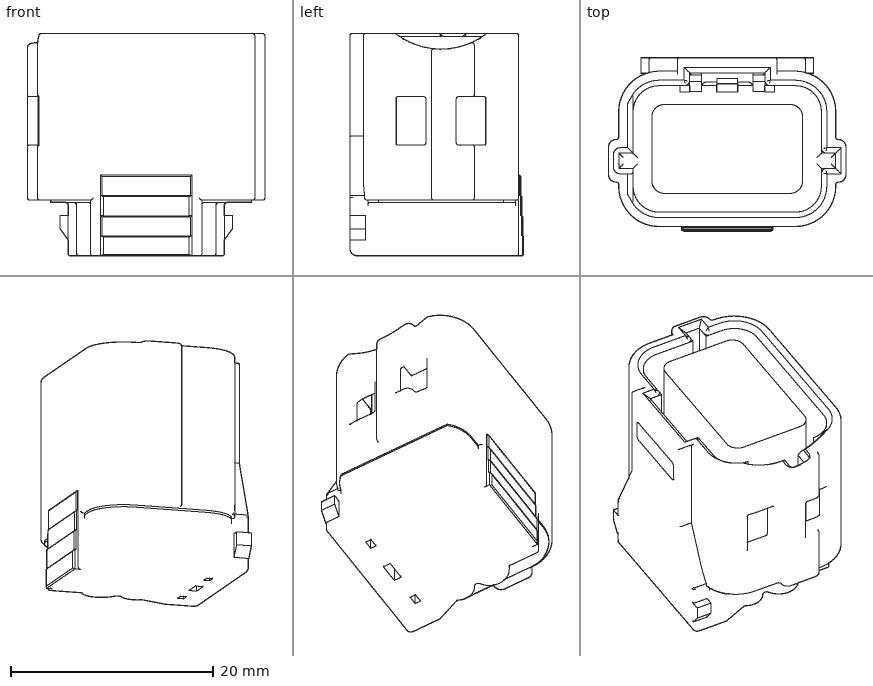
import cadquery as cq
import math

TOP_Z = 22.0
BODY_BOTTOM_Z = 5.5
BODY_HALF_X = 10.75
BODY_HALF_Y = 7.68
BODY_RADIUS = 4.0
EDGE_FILLET = 0.25

TAB_HALF_X = 11.75
TAB_Y = -1.18
TAB_HALF_WIDTH = 2.12
TAB_RADIUS = 0.75
TAB_ROOT_RADIUS = 0.24

BACK_Y = 9.02
BACK_INNER_Y = 7.05
BACK_HALF_X = 4.94
FLARE_TOP_Z = 11.85
FLARE_BOTTOM_Z = 5.97

BASE_HALF_X = 7.73
BASE_FRONT_HALF_X = 5.5
BASE_FRONT_FILLET = 0.3
BASE_SIDE_FILLET = 0.33
BASE_FILLET = 0.2
BASE_BACK_FILLET = 0.75
LOBE_X = 4.94
LOBE_Y = -2.19
LOBE_RADIUS = 1.97
LOBE_REACH_Y = math.sqrt(LOBE_RADIUS**2 - (BASE_FRONT_HALF_X - LOBE_X)**2)
REAR_LOBE = [(5.97, 0.16), (6.8, 1.25), (6.58, 2.54)]
BASE_SIDE_FRONT_Y = 5.25

PLATE_INSET = 0.33
PLATE_MIN_X = -9.45
PLATE_BOTTOM_Z = 5.29
SEAM_FILLET = 0.3

WALL = 1.43
CAVITY_HALF_X = BODY_HALF_X - WALL
CAVITY_HALF_Y = BODY_HALF_Y - WALL
CAVITY_RADIUS = BODY_RADIUS - WALL
FLOOR_Z = 6.35
FLOOR_FILLET = 0.52
RIM_CHAMFER = 0.55
GROOVE_HALF_X = 10.72
GROOVE_HALF_WIDTH = 0.75
GROOVE_MOUTH_RADIUS = 0.68
NOTCH_HALF_X = 3.71
NOTCH_Y = 7.52
CORE_HALF_X = 7.45
CORE_HALF_Y = 4.4
CORE_RADIUS = 1.22
CORE_TOP_Z = 21.71

DIP_HALF_WIDTH = 4.51
DIP_DEPTH = 1.55
DIP_RADIUS = (DIP_HALF_WIDTH**2 + DIP_DEPTH**2) / (2 * DIP_DEPTH)
DIP_INNER_X = -CORE_HALF_X - 0.95

WINDOW_Y = 2.98
WINDOW_WIDTH = 2.95
WINDOW_BOTTOM_Z = 10.95
WINDOW_HEIGHT = 4.8
WINDOW_RADIUS = 0.2
WINDOW_FILLET = 0.16

LATCH_BOTTOM_Z = 16.92
LATCH_TOP_Z = 19.15
LATCH_RADIUS = 0.35
TONGUE_HALF_X = 2.54
TONGUE_FOOT_Y = CAVITY_HALF_Y
TONGUE_CHAMFER = 0.38
TONGUE_RADIUS = 0.52
FINGER_OUTER_X = NOTCH_HALF_X
FINGER_INNER_X = TONGUE_HALF_X
FINGER_FRONT_Y = 5.69
FINGER_FLAT_Z = 14.57
FINGER_RAMP = [(6.65, FINGER_FLAT_Z), (7.1, 14.12), (7.33, 13.75)]
SLOT_FRONT_Y = 5.65
CENTER_SLOT_HALF_X = 1.03
CENTER_SLOT_Y = 6.45
CENTER_SLOT_CHAMFER = 0.55
SIDE_SLOT_OUTER_X = 4.65

HOOK_HALF_X = 8.53
HOOK_FRONT_Y = 7.47
HOOK_TOP_Z = 4.0
HOOK_BEND_Z = 2.68
HOOK_BOTTOM_Z = 1.57

GRIP_HALF_X = 4.51
GRIP_HEIGHT = 8.0
GRIP_STEPS = 4
GRIP_FIRST_DEPTH = 0.2
GRIP_LAST_DEPTH = 0.5
GRIP_CHAMFER = 0.15
GRIP_SIDE_INSETS = (0.15, 0.28)


def box(x0, x1, y0, y1, z0, z1):
    return cq.Workplane("XY").box(x1 - x0, y1 - y0, z1 - z0, centered=False).translate((x0, y0, z0))


def rounded_prism(half_x, half_y, radius, z0, z1):
    prism = cq.Workplane("XY", origin=(0, 0, z0)).rect(2 * half_x, 2 * half_y).extrude(z1 - z0)
    return prism.edges("|Z").fillet(radius)


def prism_along_y(points, y0, y1):
    return cq.Workplane("XZ", origin=(0, y0, 0)).polyline(points).close().extrude(y0 - y1)


def mirrored(points):
    """Extend a +X half outline with its mirror image."""
    return points + [(-x, other) for x, other in reversed(points)]


def make_hood():
    hood = rounded_prism(BODY_HALF_X, BODY_HALF_Y, BODY_RADIUS, BODY_BOTTOM_Z, TOP_Z)
    tabs = box(-TAB_HALF_X, TAB_HALF_X, TAB_Y - TAB_HALF_WIDTH, TAB_Y + TAB_HALF_WIDTH, BODY_BOTTOM_Z, TOP_Z)
    hood = hood.union(tabs.edges("|Z").fillet(TAB_RADIUS))
    for side in (-1, 1):
        x = side * BODY_HALF_X
        roots = cq.selectors.BoxSelector(
            (x - 0.24, TAB_Y - TAB_HALF_WIDTH - 0.24, 0), (x + 0.24, TAB_Y + TAB_HALF_WIDTH + 0.24, TOP_Z)
        )
        hood = hood.edges("|Z").edges(roots).fillet(TAB_ROOT_RADIUS)
    return hood.faces("<Z").edges().fillet(EDGE_FILLET)


def make_housing():
    half_outline = [
        (BASE_HALF_X, BODY_BOTTOM_Z),
        (BASE_HALF_X, FLARE_BOTTOM_Z),
        (BACK_HALF_X, FLARE_TOP_Z),
        (BACK_HALF_X, TOP_Z),
    ]
    housing = prism_along_y(mirrored(half_outline), BACK_INNER_Y, BACK_Y)
    return housing.faces(">Y").edges("not <Z").fillet(EDGE_FILLET)


def dip_cylinder(radius, x0, x1):
    axis_z = TOP_Z - DIP_DEPTH + DIP_RADIUS
    return cq.Workplane("YZ", origin=(x0, 0, axis_z)).circle(radius).extrude(x1 - x0)


def cut_dip_and_round_rim(hood):
    hood = hood.cut(dip_cylinder(DIP_RADIUS, -TAB_HALF_X - 0.24, DIP_INNER_X))
    rim = cq.selectors.BoxSelector(
        (-TAB_HALF_X - 0.24, -BODY_HALF_Y - 0.24, TOP_Z - DIP_DEPTH - 0.24), (TAB_HALF_X + 0.24, BACK_Y + 0.24, TOP_Z + 0.24)
    )
    return hood.edges(rim).edges("not |Z").fillet(EDGE_FILLET)


def make_base():
    half = (
        cq.Workplane("XY")
        .moveTo(0, -BODY_HALF_Y)
        .lineTo(BASE_FRONT_HALF_X, -BODY_HALF_Y)
        .lineTo(BASE_FRONT_HALF_X, LOBE_Y - LOBE_REACH_Y)
        .threePointArc((LOBE_X + LOBE_RADIUS, LOBE_Y), (BASE_FRONT_HALF_X, LOBE_Y + LOBE_REACH_Y))
        .lineTo(*REAR_LOBE[0])
        .threePointArc(*REAR_LOBE[1:])
        .lineTo(BASE_HALF_X, BASE_SIDE_FRONT_Y)
        .lineTo(BASE_HALF_X, BACK_Y)
        .lineTo(0, BACK_Y)
        .close()
        .extrude(BODY_BOTTOM_Z + EDGE_FILLET)
    )
    base = half.union(half.mirror("YZ"))
    front_corners = cq.selectors.BoxSelector(
        (-BASE_HALF_X, -BODY_HALF_Y - 0.24, 0), (BASE_HALF_X, -BODY_HALF_Y + 0.24, TOP_Z)
    )
    base = base.edges("|Z").edges(front_corners).fillet(BASE_FRONT_FILLET)
    side_corners = cq.selectors.BoxSelector(
        (-BASE_HALF_X - 0.24, -BODY_HALF_Y + 0.47, 0), (BASE_HALF_X + 0.24, BASE_SIDE_FRONT_Y + 0.24, TOP_Z)
    )
    base = base.edges("|Z").edges(side_corners).fillet(BASE_SIDE_FILLET)
    base = base.faces("<Z").edges(">Y").fillet(BASE_BACK_FILLET)
    return base.faces("<Z").edges("not >Y").fillet(BASE_FILLET)


def make_underplate():
    """Thin step under the hood."""
    plate = rounded_prism(
        BODY_HALF_X - PLATE_INSET,
        BODY_HALF_Y - PLATE_INSET,
        BODY_RADIUS - PLATE_INSET,
        PLATE_BOTTOM_Z,
        BODY_BOTTOM_Z + EDGE_FILLET,
    )
    trim = box(-BODY_HALF_X, PLATE_MIN_X, -BODY_HALF_Y, BODY_HALF_Y, 0, BODY_BOTTOM_Z)
    return plate.cut(trim)


def join_base_and_plate(base, plate):
    joined = base.union(plate)
    seam = cq.selectors.BoxSelector(
        (-BASE_HALF_X - 0.12, 0.24 - BODY_HALF_Y + PLATE_INSET, PLATE_BOTTOM_Z - 0.02),
        (BASE_HALF_X + 0.12, BODY_HALF_Y - PLATE_INSET - 0.24, PLATE_BOTTOM_Z + 0.02),
    )
    return joined.edges(seam).fillet(SEAM_FILLET)


def make_hooks():
    outline = [
        (BASE_HALF_X, HOOK_BOTTOM_Z),
        (HOOK_HALF_X, HOOK_BEND_Z),
        (HOOK_HALF_X, HOOK_TOP_Z),
    ]
    inside = [(0, HOOK_TOP_Z), (0, HOOK_BOTTOM_Z)]
    hook = prism_along_y(outline + inside, HOOK_FRONT_Y, BACK_Y)
    return hook.union(hook.mirror("YZ"))


def make_grip():
    """Stacked steps that stand further out toward the bottom, every second one with narrower sides."""
    grip = None
    step_height = GRIP_HEIGHT / GRIP_STEPS
    depth_gain = (GRIP_LAST_DEPTH - GRIP_FIRST_DEPTH) / (GRIP_STEPS - 1)
    for i in range(GRIP_STEPS):
        front_y = -BODY_HALF_Y - GRIP_FIRST_DEPTH - i * depth_gain
        inset = GRIP_SIDE_INSETS[i % 2]
        half_outline = [
            (GRIP_HALF_X, -CAVITY_HALF_Y),
            (GRIP_HALF_X, front_y + GRIP_CHAMFER),
            (GRIP_HALF_X - inset, front_y),
        ]
        step = cq.Workplane("XY").polyline(mirrored(half_outline)).close().extrude(GRIP_HEIGHT - i * step_height)
        step = step.faces("<Y").edges(">Z or <Z").chamfer(GRIP_CHAMFER)
        grip = step if grip is None else grip.union(step)
    return grip


def make_cavity():
    prism = rounded_prism(CAVITY_HALF_X, CAVITY_HALF_Y, CAVITY_RADIUS, FLOOR_Z, TOP_Z)
    groove = box(
        -GROOVE_HALF_X, GROOVE_HALF_X, TAB_Y - GROOVE_HALF_WIDTH, TAB_Y + GROOVE_HALF_WIDTH, FLOOR_Z, TOP_Z
    )
    notch = box(-NOTCH_HALF_X, NOTCH_HALF_X, 0, NOTCH_Y, FLOOR_Z, TOP_Z)
    prism = prism.union(groove).union(notch)
    outline = prism.faces(">Z").wires().toPending().offset2D(RIM_CHAMFER, kind="intersection")
    flare = outline.extrude(-RIM_CHAMFER, combine=False, taper=45)
    prism = prism.faces("<Z").edges().fillet(FLOOR_FILLET)
    core = rounded_prism(CORE_HALF_X, CORE_HALF_Y, CORE_RADIUS, FLOOR_Z - 0.24, CORE_TOP_Z)
    return prism.union(flare).cut(core)


def make_dip_flare():
    """Cone that carries the rim chamfer along the dip."""
    cone = cq.Solid.makeCone(
        DIP_RADIUS,
        DIP_RADIUS + RIM_CHAMFER,
        RIM_CHAMFER,
        cq.Vector(-CAVITY_HALF_X - RIM_CHAMFER, 0, TOP_Z - DIP_DEPTH + DIP_RADIUS),
        cq.Vector(1, 0, 0),
    )
    return cq.Workplane(cone)


def make_groove_flare():
    """Widened mouth of the tab groove at the bottom of the dip."""
    half_width = GROOVE_HALF_WIDTH + RIM_CHAMFER
    mouth = box(
        -GROOVE_HALF_X - RIM_CHAMFER,
        DIP_INNER_X,
        TAB_Y - half_width,
        TAB_Y + half_width,
        TOP_Z - DIP_DEPTH - RIM_CHAMFER,
        TOP_Z,
    )
    mouth = mouth.edges("|Z and <X").fillet(GROOVE_MOUTH_RADIUS)
    return mouth.faces("<Z").edges().chamfer(RIM_CHAMFER)


def cut_windows(hood):
    for y in (-WINDOW_Y, WINDOW_Y):
        y0 = y - WINDOW_WIDTH / 2
        y1 = y + WINDOW_WIDTH / 2
        top_z = WINDOW_BOTTOM_Z + WINDOW_HEIGHT
        window = box(-TAB_HALF_X - 0.24, -CORE_HALF_X, y0, y1, WINDOW_BOTTOM_Z, top_z)
        hood = hood.cut(window.edges("|X").fillet(WINDOW_RADIUS))
        mouth = cq.selectors.BoxSelector(
            (-TAB_HALF_X - 0.24, y0 - 0.05, WINDOW_BOTTOM_Z - 0.05),
            (-CAVITY_HALF_X, y1 + 0.05, top_z + 0.05),
            boundingbox=True,
        )
        hood = hood.edges(mouth).fillet(WINDOW_FILLET)
    return hood


def make_latch_opening():
    opening = box(-NOTCH_HALF_X, NOTCH_HALF_X, NOTCH_Y - 0.24, BACK_Y + 0.24, LATCH_BOTTOM_Z, LATCH_TOP_Z)
    return opening.edges("|Y").fillet(LATCH_RADIUS)


def make_tongue():
    """Latch tongue with a rounded foot on the floor, a chamfered top and rounded top corners."""
    foot_y = TONGUE_FOOT_Y - FLOOR_FILLET
    tongue = (
        cq.Workplane("YZ", origin=(-TONGUE_HALF_X, 0, 0))
        .moveTo(BACK_Y - 0.24, FLOOR_Z)
        .lineTo(foot_y, FLOOR_Z)
        .radiusArc((TONGUE_FOOT_Y, FLOOR_Z + FLOOR_FILLET), -FLOOR_FILLET)
        .lineTo(TONGUE_FOOT_Y, LATCH_BOTTOM_Z - TONGUE_CHAMFER)
        .lineTo(TONGUE_FOOT_Y + TONGUE_CHAMFER, LATCH_BOTTOM_Z)
        .lineTo(BACK_Y - 0.24, LATCH_BOTTOM_Z)
        .close()
        .extrude(2 * TONGUE_HALF_X)
    )
    top_corners = tongue.faces(">Z").edges("|Y")
    return top_corners.fillet(TONGUE_RADIUS)


def make_fingers():
    profile = [(FINGER_FRONT_Y, FLOOR_Z - 0.24), (FINGER_FRONT_Y, FINGER_FLAT_Z)] + FINGER_RAMP
    profile += [(FINGER_RAMP[-1][0], FLOOR_Z - 0.24)]
    finger = (
        cq.Workplane("YZ", origin=(FINGER_INNER_X, 0, 0))
        .polyline(profile)
        .close()
        .extrude(FINGER_OUTER_X - FINGER_INNER_X)
    )
    return finger.union(finger.mirror("YZ"))


def make_slots():
    center = (
        cq.Workplane("YZ", origin=(-CENTER_SLOT_HALF_X, 0, 0))
        .polyline(
            [
                (SLOT_FRONT_Y, 0),
                (CENTER_SLOT_Y, 0),
                (CENTER_SLOT_Y, LATCH_BOTTOM_Z - CENTER_SLOT_CHAMFER),
                (CENTER_SLOT_Y + CENTER_SLOT_CHAMFER, LATCH_BOTTOM_Z),
                (SLOT_FRONT_Y, LATCH_BOTTOM_Z),
            ]
        )
        .close()
        .extrude(2 * CENTER_SLOT_HALF_X)
    )
    side = box(FINGER_OUTER_X, SIDE_SLOT_OUTER_X, SLOT_FRONT_Y, CAVITY_HALF_Y, 0, FLOOR_Z + FLOOR_FILLET)
    return center.union(side).union(side.mirror("YZ"))


hood = cut_dip_and_round_rim(make_hood())
hood = cut_windows(hood).union(make_housing())
base = join_base_and_plate(make_base(), make_underplate())
body = hood.union(base).union(make_hooks()).union(make_grip())
body = body.cut(make_cavity()).cut(make_dip_flare()).cut(make_groove_flare())
body = body.union(make_tongue()).union(make_fingers())
result = body.cut(make_latch_opening()).cut(make_slots())